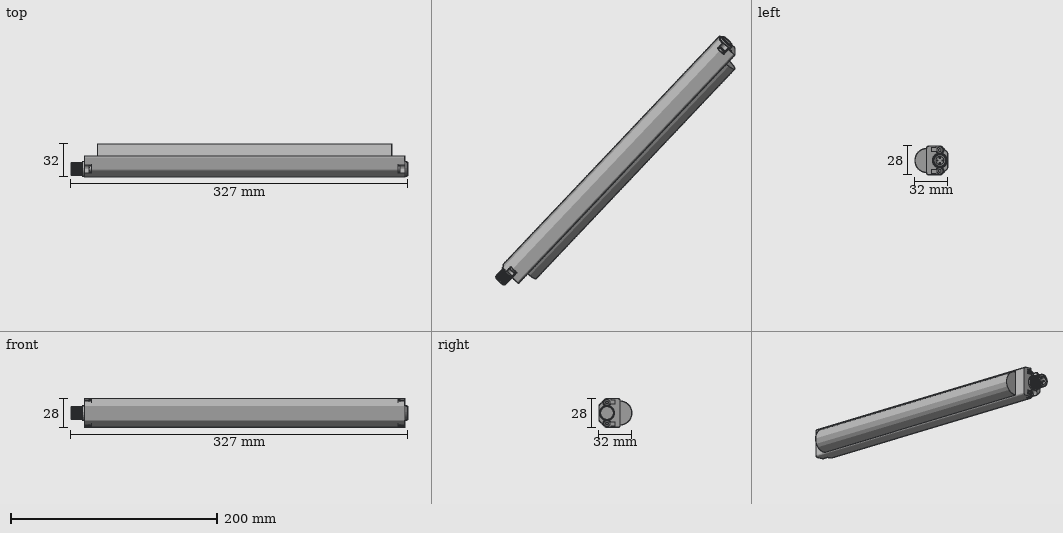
import cadquery as cq
import math

overall_length = 327.0
overall_depth = 32.0

housing_length = 311.0
housing_depth = 20.5
housing_height = 28.0
front_chamfer = 6.5
front_edge_radius = 3.0
back_edge_radius = 2.0
cap_length = 12.8

tube_radius = 11.8
tube_axis_y = overall_depth - tube_radius

connector_axis_y = 8.0
collar_radius = 7.2
collar_length = 2.0

connector_length = 13.0
thread_radius = 6.2
thread_depth = 0.5
thread_pitch = 1.0
groove_width = thread_pitch / 2
thread_count = 10
tip_chamfer = 0.5
socket_radius = 4.0
socket_depth = 8.2
pin_radius = 0.5
pin_length = 6.5
pin_circle_radius = 2.5
pin_count = 4

plug_radius = 6.2
plug_length = overall_length - housing_length - connector_length

slot_axis_y = 8.0
slot_axis_z = 10.0
slot_radius = 4.0
slot_length = 7.0
slot_back_y = slot_axis_y + slot_radius
pocket_back_y = 15.7
pocket_floor_z = 8.5
pocket_top_z = 12.5

screw_radius = 3.0
screw_length = 2.3
screw_socket_radius = 1.3
screw_socket_depth = 1.3


def cylinder_x(start, length, radius, y=connector_axis_y, z=0):
    """Solid cylinder parallel to X, growing toward +X from start."""
    return cq.Workplane("YZ", origin=(start, y, z)).circle(radius).extrude(length)


def box_between(low, high):
    """Axis-aligned box spanning two opposite corners."""
    sizes = [b - a for a, b in zip(low, high)]
    return cq.Workplane("XY").box(*sizes, centered=False).translate(low)


def make_housing():
    block = cq.Workplane("XY").box(
        housing_length, housing_depth, housing_height, centered=(False, False, True)
    )
    block = block.faces("<Y").edges("|X").chamfer(front_chamfer)
    block = block.edges("|X").edges(">Y").fillet(back_edge_radius)
    half_depth = housing_depth / 2
    front_half = cq.selectors.BoxSelector(
        (0, -half_depth, -housing_height), (housing_length, half_depth, housing_height)
    )
    return block.edges("|X").edges(front_half).fillet(front_edge_radius)


def make_tube():
    return cylinder_x(cap_length, housing_length - 2 * cap_length, tube_radius, tube_axis_y)


def make_connector():
    body = cylinder_x(-connector_length, connector_length, thread_radius)
    body = body.faces("<X").edges().chamfer(tip_chamfer)
    body = body.union(cylinder_x(-collar_length, collar_length, collar_radius))

    for index in range(thread_count):
        start = -collar_length - groove_width - index * thread_pitch
        groove = cylinder_x(start, groove_width, thread_radius)
        core = cylinder_x(start, groove_width, thread_radius - thread_depth)
        body = body.cut(groove.cut(core))

    body = body.cut(cylinder_x(-connector_length, socket_depth, socket_radius))
    pin_tip = socket_depth - connector_length - pin_length
    for index in range(pin_count):
        angle = 2 * math.pi * index / pin_count
        pin_y = connector_axis_y + pin_circle_radius * math.cos(angle)
        pin_z = pin_circle_radius * math.sin(angle)
        body = body.union(cylinder_x(pin_tip, pin_length, pin_radius, pin_y, pin_z))
    return body


def make_plug():
    plug = cylinder_x(housing_length, plug_length, plug_radius)
    return plug.union(cylinder_x(housing_length, collar_length, collar_radius))


def make_screw():
    """Head of the cap screw in the upper slot of the -X end, with its round socket."""
    start = slot_length - screw_length
    head = cylinder_x(start, screw_length, screw_radius, slot_axis_y, slot_axis_z)
    socket = cylinder_x(start, screw_socket_depth, screw_socket_radius, slot_axis_y, slot_axis_z)
    return head.cut(socket)


def make_slot():
    """Space removed for the upper slot of the -X end: round floor, open top, side pocket."""
    floor = cylinder_x(0, slot_length, slot_radius, slot_axis_y, slot_axis_z)
    mouth = box_between(
        (0, slot_axis_y - slot_radius, slot_axis_z), (slot_length, slot_back_y, housing_height)
    )
    pocket = box_between(
        (0, slot_axis_y, pocket_floor_z), (slot_length, pocket_back_y, pocket_top_z)
    )
    return floor.union(mouth).union(pocket).cut(make_screw())


upper_slot = make_slot()
near_slots = upper_slot.union(upper_slot.mirror("XY"))
far_slots = near_slots.mirror("YZ", (housing_length / 2, 0, 0))

result = make_housing().union(make_tube()).cut(near_slots).cut(far_slots)
result = result.union(make_connector()).union(make_plug())